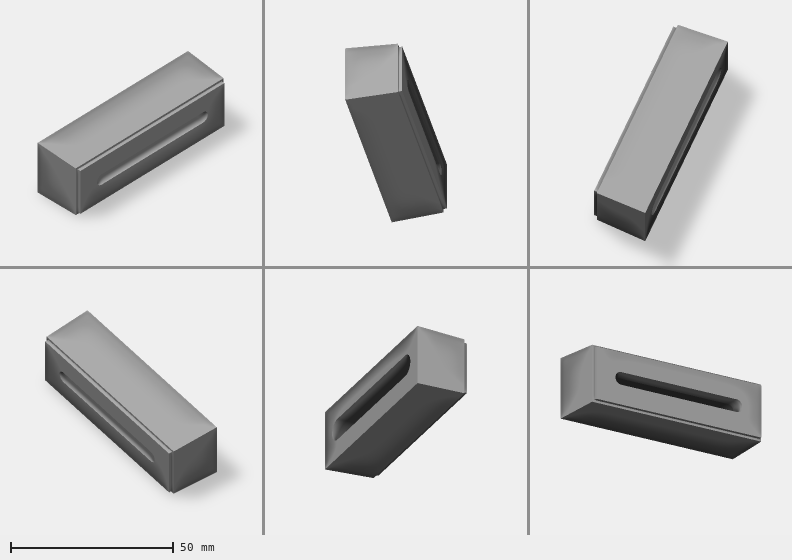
import cadquery as cq
import math

length = 64.0
height = 19.9
total_depth = 17.7
lip_depth = 1.2
draft_angle = 2.0
body_depth = total_depth - lip_depth

lip_inset = 0.8
draft_inset = body_depth * math.tan(math.radians(draft_angle))
lip_length = length - 2 * (draft_inset + lip_inset)
lip_height = height - 2 * (draft_inset + lip_inset)

pocket_length = 54.1
pocket_width = 7.2
pocket_depth = 12.8
slot_length = 47.1
slot_width = 4.15


def slot_cutter(overall_length, width, depth):
    """Round-ended slot along Y, cut from the large face toward +X."""
    return cq.Workplane("YZ").slot2D(overall_length, width).extrude(depth)


body = cq.Workplane("YZ").rect(length, height).extrude(body_depth, taper=draft_angle)
lip = cq.Workplane("YZ", origin=(body_depth, 0, 0)).rect(lip_length, lip_height).extrude(lip_depth)

result = (
    body.union(lip)
    .cut(slot_cutter(pocket_length, pocket_width, pocket_depth))
    .cut(slot_cutter(slot_length, slot_width, total_depth))
)